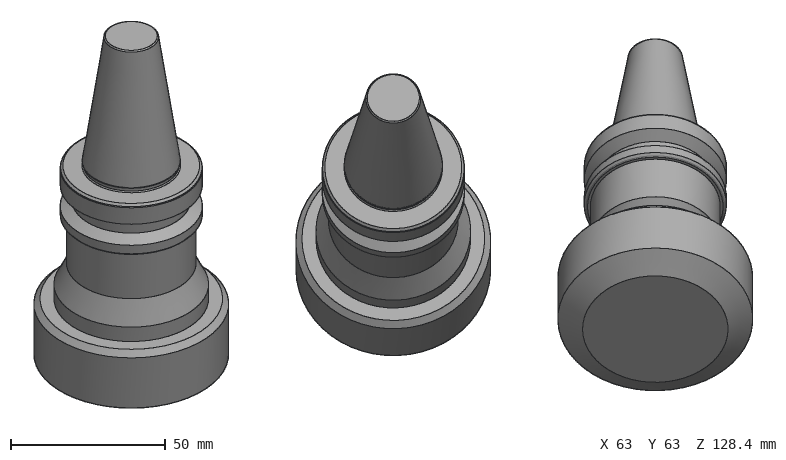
import cadquery as cq
import math

gauge_height = 80.0
taper_length = 48.4
flange_gap = 2.0
flange_length = 20.0
groove_depth_below_gauge = 13.6
neck_bottom = 40.2
collar_top = 31.8
nut_top = 26.2

gauge_radius = 31.75 / 2
flange_radius = 46.0 / 2
groove_radius = 38.4 / 2
neck_radius = 42.0 / 2
collar_radius = 50.0 / 2
nut_radius = 63.0 / 2
nut_nose_radius = 47.0 / 2

taper_slope = 7 / 48
groove_floor_width = 3.8
groove_wall_angle = 30.0
nut_nose_angle = 30.0
nut_chamfer = 2.0
flange_chamfer = 0.75
top_break_width = 0.15
top_break_height = 0.35
bottom_break_width = 0.35
bottom_break_height = 0.25
taper_tip_chamfer = 0.4
relief_depth = 0.35
relief_chamfer = 0.4
gauge_land = 0.3

taper_top = gauge_height + taper_length
taper_top_radius = gauge_radius - taper_length * taper_slope
flange_top = gauge_height - flange_gap
flange_bottom = flange_top - flange_length
relief_radius = gauge_radius - relief_depth


def revolve_section(section):
    """Ring or solid swept about Z by a closed section of (radius, height) points."""
    return cq.Workplane("XZ").polyline(section).close().revolve(360, (0, 0, 0), (0, 1, 0))


def revolve_profile(points):
    """Solid of revolution about Z from the outside points, listed bottom to top."""
    first_height = points[0][1]
    last_height = points[-1][1]
    return revolve_section([(0, first_height)] + points + [(0, last_height)])


def make_taper():
    return revolve_profile([
        (relief_radius + relief_chamfer, flange_top),
        (relief_radius, flange_top + relief_chamfer),
        (relief_radius, gauge_height - gauge_land),
        (gauge_radius, gauge_height - gauge_land),
        (gauge_radius, gauge_height),
        (taper_top_radius, taper_top),
    ]).faces(">Z").chamfer(taper_tip_chamfer)


def make_flange():
    top_chamfer_radius = flange_radius - top_break_width
    top_chamfer_height = flange_top - flange_chamfer
    bottom_chamfer_radius = flange_radius - flange_chamfer
    bottom_chamfer_height = flange_bottom + bottom_break_height
    blank = revolve_profile([
        (bottom_chamfer_radius - bottom_break_width, flange_bottom),
        (bottom_chamfer_radius, bottom_chamfer_height),
        (flange_radius, bottom_chamfer_height + flange_chamfer),
        (flange_radius, top_chamfer_height - top_break_height),
        (top_chamfer_radius, top_chamfer_height),
        (top_chamfer_radius - flange_chamfer, flange_top),
    ])
    return blank.cut(make_gripper_groove())


def make_gripper_groove():
    middle = gauge_height - groove_depth_below_gauge
    half_floor = groove_floor_width / 2
    wall_rise = (flange_radius - groove_radius) * math.tan(math.radians(groove_wall_angle))
    half_mouth = half_floor + wall_rise
    section = [
        (groove_radius, middle - half_floor),
        (flange_radius, middle - half_mouth),
        (flange_radius, middle + half_mouth),
        (groove_radius, middle + half_floor),
    ]
    return revolve_section(section)


def make_neck_and_collar():
    return revolve_profile([
        (collar_radius, nut_top),
        (collar_radius, collar_top),
        (neck_radius, neck_bottom),
        (neck_radius, flange_bottom),
    ])


def make_nut():
    nose_height = (nut_radius - nut_nose_radius) * math.tan(math.radians(nut_nose_angle))
    return revolve_profile([
        (nut_nose_radius, 0),
        (nut_radius, nose_height),
        (nut_radius, nut_top - nut_chamfer),
        (nut_radius - nut_chamfer, nut_top),
    ])


result = make_nut().union(make_neck_and_collar()).union(make_flange()).union(make_taper())